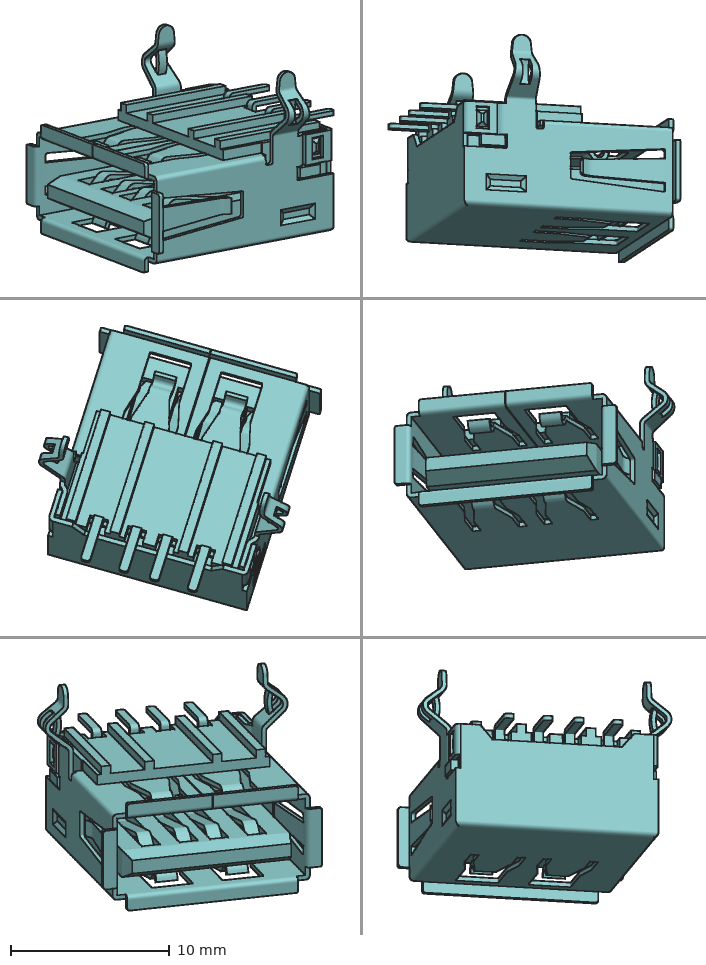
import cadquery as cq
import math


SHEET = 0.3
SHELL_HALF_WIDTH = 6.53
SHELL_HEIGHT = 5.71
SHELL_BACK = 13.95
TOP_BACK = 8.91
BEND_RADIUS = SHEET
INNER_HALF_WIDTH = SHELL_HALF_WIDTH - SHEET
INNER_TOP = SHELL_HEIGHT - SHEET
INNER_BACK = SHELL_BACK - SHEET
WALL_MID = SHELL_HALF_WIDTH - SHEET / 2
SEAM_WIDTH = 0.05
TIGHT_BEND = 0.02

FLANGE_REACH = 0.7
FLANGE_HALF_WIDTH = 5.65
SIDE_FLANGE_HALF_WIDTH = 7.23
SIDE_FLANGE_BOTTOM = 0.88
SIDE_FLANGE_TOP = 4.78
FLANGE_CORNER_RADIUS = 0.16
LIP_RADIUS = 0.29

SPRING_X = 2.34
SPRING_ROOT_Y = 7.2
SPRING_ROOT_HALF = 1.25
SPRING_TIP_HALF = 0.7
SPRING_TAPER = (5.57, 3.65)
SPRING_WINDOW_ROOT_HALF = 1.76
SPRING_WINDOW_TIP_HALF = 1.36
SPRING_WINDOW_TAPER = (5.26, 3.73)
SPRING_WINDOW_FRONT = 1.0
SPRING_WINDOW_RADIUS = 0.08
SPRING_BEND_Y = 3.38
SPRING_DIP_Y = 2.6
SPRING_DIP_DEPTH = 1.0
SPRING_TIP_Y = 2.22
SPRING_TIP_DEPTH = 0.03
SPRING_BEND_RADII = (0.32, 0.45)

SIDE_WINDOW = [(0.78, 1.5), (0.78, 4.27), (7.0, 3.73), (7.0, 2.02)]
SIDE_WINDOW_RADIUS = 0.15
SIDE_SPRING_FRONT = 0.64
SIDE_SPRING_KNEE = 5.63
SIDE_SPRING_END = 6.29
SIDE_SPRING_INSET = 0.37
SIDE_SPRING_END_INSET = 0.05
SIDE_SPRING_END_LEAN = 0.08
SIDE_SPRING_BEND_RADII = (0.48, 0.96)
SIDE_SPRING_BEND_START = 0.08
SIDE_SPRING_MID_Z = 2.88
SIDE_SPRING_ROOT_HALF = 0.78
SIDE_SPRING_TIP_HALF = 0.53
SIDE_SPRING_END_RADIUS = 0.29

TAB_Y = 10.24
TAB_HALF_WIDTH = 0.98
TAB_TIP_RADIUS = 0.6
TAB_BASE_Z = 6.91
TAB_TOP_Z = 11.04
TAB_APEX_Z = 8.55
TAB_APEX_X = 8.15
TAB_TIP_X = 6.6
TAB_KNEE_Z = 9.76
TAB_BEND_Z = 7.09
TAB_BEND_RADII = (0.37, 0.5, 0.48)
TAB_BOW_WIDTH = 0.62
TAB_BOW_HALF_HEIGHT = 0.8
TAB_BOW_X = 6.96
TAB_BOW_END_X = 7.1
NOTCH_FRONT = 8.74
NOTCH_BOTTOM = 5.12
NOTCH_RADIUS = 0.16

EAR_BOTTOM = 4.62
EAR_TOP = 6.62
EAR_FRONT = 11.8
EAR_GAP_BOTTOM = 3.75
EAR_GAP_FRONT = 11.15
EAR_GAP_RADIUS = 0.15
STRIP_BACK = 13.45
JOG_START = 11.4
JOG_END = 11.76
JOG_RADIUS = 0.35
STRIP_GAP = 0.03
EAR_SLOPE_X = (4.95, 4.16)
WINDOW_CENTRE = (12.74, 5.63)
WINDOW_SIZE = (0.85, 1.42)
LOCK_BASE = (0.75, 1.05)
LOCK_CREST = (0.15, 0.55)
LOCK_HEIGHT = 0.24

DENT_CENTRE = (11.2, 1.52)
DENT_SIZE = (2.62, 1.02)
DENT_INSET = 0.3
DENT_DEPTH = 0.2

PIN_POSITIONS = (-3.5, -1.0, 1.0, 3.5)
PIN_THICKNESS = 0.3
LEG_WIDTH = 0.6
LEG_TIP_RADIUS = 0.2
LEG_TOP = 6.91
PIN_TIP_Y = 15.97
POST_FRONT = 12.8
BEAM_WIDTH = 0.95
BEAM_BOTTOM = 2.06
BEAM_RISE_Y = 8.0
CREST_Y = 3.42
CREST_Z = 3.04
BEAM_FALL_Y = 2.6
BEAM_BEND_RADII = (0.8, 0.48, 0.32)
BEAM_TAPER_Y = 2.25
BEAM_TIP_WIDTH = 0.45
SHOULDER_BOTTOM = 4.8
SHOULDER_TOP = 6.0
SHOULDER_RADIUS = 0.25

BLOCK_FRONT = 8.96
BLOCK_HALF_WIDTH = 6.15
BLOCK_TOP_HALF_WIDTH = 5.8
SHELF_Z = 4.53
BLOCK_CHAMFER = 0.35
PLATE_FRONT = 6.0
PLATE_HALF_WIDTH = 5.71
PLATE_TOP = 6.38
RIB_POSITIONS = (-5.12, -2.24, 2.24, 5.12)
RIB_WIDTH = 0.6
TONGUE_HALF_WIDTH = 5.54
TONGUE_BOTTOM = 1.05
TONGUE_TOP = 2.85
TONGUE_SHOULDER_Y = 1.44
TONGUE_FRONT = 0.24
TONGUE_NOSE_HALF_WIDTH = 5.25
TONGUE_NOSE_BOTTOM = 1.66
TONGUE_NOSE_TOP = 2.55
GROOVE_WIDTH = 1.2
GROOVE_FRONT = 1.8
SLOT_TOP = 3.38
NOTCH_FLOOR = SHELL_HEIGHT
BUMP_Y = (11.31, 12.86)
BUMP_Z = (3.87, 4.56)
BUMP_HALF_WIDTH = 6.62
DENT_CLEARANCE_HALF_WIDTH = 5.8
DENT_CLEARANCE_Z = (1.0, 2.32)
DENT_CLEARANCE_BACK = 12.8


def block(x, y, z):
    """Box from its (low, high) limits along each axis."""
    size = (x[1] - x[0], y[1] - y[0], z[1] - z[0])
    return cq.Workplane("XY").box(*size, centered=False).translate((x[0], y[0], z[0]))


def centred_block(half_width, y, z):
    return block((-half_width, half_width), y, z)


def both_sides(shape):
    """The shape together with its mirror image across X = 0."""
    return shape.union(shape.mirror("YZ"))


def bent_strip(workplane, path, bend_radii, thickness):
    """Closed outline of a strip whose middle line follows path, rounded at each inner point."""
    sides = {1: [], -1: []}
    last = len(path) - 1
    headings = [
        math.atan2(b[1] - a[1], b[0] - a[0]) for a, b in zip(path, path[1:])
    ]
    for side, stretches in sides.items():
        shift = side * thickness / 2
        for index, point in enumerate(path):
            if index in (0, last):
                heading = headings[0] if index == 0 else headings[-1]
                normal = heading + math.pi / 2
                stretches.append(
                    [(point[0] + shift * math.cos(normal), point[1] + shift * math.sin(normal))]
                )
                continue
            before, after = headings[index - 1], headings[index]
            turn = math.remainder(after - before, 2 * math.pi)
            hand = math.copysign(1, turn)
            radius = bend_radii[index - 1]
            inward = before + turn / 2 + hand * math.pi / 2
            centre_distance = radius / math.cos(turn / 2)
            centre_x = point[0] + centre_distance * math.cos(inward)
            centre_y = point[1] + centre_distance * math.sin(inward)
            arc_radius = radius - hand * shift
            stretches.append([
                (
                    centre_x + arc_radius * math.cos(direction - hand * math.pi / 2),
                    centre_y + arc_radius * math.sin(direction - hand * math.pi / 2),
                )
                for direction in (before, before + turn / 2, after)
            ])
    loop = sides[1] + [stretch[::-1] for stretch in reversed(sides[-1])]
    outline = workplane.moveTo(*loop[0][0])
    for stretch in loop[1:]:
        outline = outline.lineTo(*stretch[0])
        if len(stretch) > 1:
            outline = outline.threePointArc(stretch[1], stretch[2])
    return outline.close()


def side_frustum(x, centre, base, crest, height):
    """Four-sided frustum on the plane at x, rising along X by height (negative is inward)."""
    return (
        cq.Workplane("YZ", origin=(x, *centre))
        .rect(*base)
        .workplane(offset=height)
        .rect(*crest)
        .loft(combine=True)
    )



def shell_tube():
    """Bottom, side walls, top sheet and back wall, before any cut-outs."""
    envelope = (SHELL_HALF_WIDTH, (SHEET, SHELL_BACK), (0, SHELL_HEIGHT))
    tube = centred_block(*envelope).edges("|Y").fillet(BEND_RADIUS)
    tube = tube.intersect(centred_block(*envelope).edges("|X and >Y and <Z").fillet(BEND_RADIUS))
    tube = tube.cut(centred_block(INNER_HALF_WIDTH, (0, INNER_BACK), (SHEET, INNER_TOP)))
    rear = (TOP_BACK, SHELL_BACK)
    tube = tube.cut(centred_block(SHELL_HALF_WIDTH, rear, (EAR_GAP_BOTTOM, SHELL_HEIGHT)))
    tab_walls = block(
        (INNER_HALF_WIDTH, SHELL_HALF_WIDTH),
        (TOP_BACK, TAB_Y + TAB_HALF_WIDTH),
        (EAR_GAP_BOTTOM, TAB_BASE_Z),
    )
    notches = block(
        (INNER_HALF_WIDTH, SHELL_HALF_WIDTH),
        (NOTCH_FRONT, TAB_Y - TAB_HALF_WIDTH),
        (NOTCH_BOTTOM, TAB_BASE_Z),
    ).edges("|X and <Z").fillet(NOTCH_RADIUS)
    ear_gaps = block(
        (INNER_HALF_WIDTH, SHELL_HALF_WIDTH),
        (EAR_GAP_FRONT, SHELL_BACK),
        (EAR_GAP_BOTTOM, EAR_BOTTOM),
    ).edges("|X and <Y and <Z").fillet(EAR_GAP_RADIUS)
    tube = tube.union(both_sides(tab_walls))
    return tube.cut(both_sides(notches)).cut(both_sides(ear_gaps))


def flanges():
    lip = (0, SHEET)
    bottom = (
        centred_block(FLANGE_HALF_WIDTH, lip, (-FLANGE_REACH, SHEET))
        .edges("|Y and <Z").fillet(FLANGE_CORNER_RADIUS)
        .edges("|X and <Y and >Z").fillet(LIP_RADIUS)
    )
    top = (
        centred_block(FLANGE_HALF_WIDTH, lip, (INNER_TOP, SHELL_HEIGHT + FLANGE_REACH))
        .edges("|Y and >Z").fillet(FLANGE_CORNER_RADIUS)
        .edges("|X and <Y and <Z").fillet(LIP_RADIUS)
    )
    side = (
        block(
            (INNER_HALF_WIDTH, SIDE_FLANGE_HALF_WIDTH), lip, (SIDE_FLANGE_BOTTOM, SIDE_FLANGE_TOP)
        )
        .edges("|Y and >X").fillet(FLANGE_CORNER_RADIUS)
        .edges("|Z and <Y and <X").fillet(LIP_RADIUS)
    )
    return bottom.union(top).union(both_sides(side))


def tapered_plan(root_half, tip_half, taper, front_y):
    """Plan outline, symmetric about X = 0, that narrows toward the mouth."""
    right = [
        (root_half, SPRING_ROOT_Y), (root_half, taper[0]), (tip_half, taper[1]), (tip_half, front_y)
    ]
    left = [(-x, y) for x, y in reversed(right)]
    return cq.Workplane("XY").polyline(right + left).close().extrude(SHELL_HEIGHT)


def top_spring():
    """Spring finger hanging from the top sheet, at X = 0."""
    mid = SHELL_HEIGHT - SHEET / 2
    path = [
        (SPRING_ROOT_Y, mid),
        (SPRING_BEND_Y, mid),
        (SPRING_DIP_Y, mid - SPRING_DIP_DEPTH),
        (SPRING_TIP_Y, mid - SPRING_TIP_DEPTH),
    ]
    finger = bent_strip(cq.Workplane("YZ"), path, SPRING_BEND_RADII, SHEET).extrude(
        SPRING_ROOT_HALF, both=True
    )
    return finger.intersect(tapered_plan(SPRING_ROOT_HALF, SPRING_TIP_HALF, SPRING_TAPER, 0))


def contact_springs():
    spring = top_spring()
    lower = spring.mirror("XY").translate((0, 0, SHELL_HEIGHT))
    pair = spring.union(lower)
    return both_sides(pair.translate((SPRING_X, 0, 0)))


def spring_windows():
    window = tapered_plan(
        SPRING_WINDOW_ROOT_HALF, SPRING_WINDOW_TIP_HALF, SPRING_WINDOW_TAPER, SPRING_WINDOW_FRONT
    )
    window = window.edges("|Z and <Y").fillet(SPRING_WINDOW_RADIUS)
    return both_sides(window.translate((SPRING_X, 0, 0)))


def side_windows():
    window = (
        cq.Workplane("YZ", origin=(INNER_HALF_WIDTH, 0, 0))
        .polyline(SIDE_WINDOW).close()
        .extrude(SHEET)
        .edges("|X").fillet(SIDE_WINDOW_RADIUS)
    )
    return both_sides(window)


def side_springs():
    front = SIDE_WINDOW[0][0]
    path = [
        (WALL_MID, SIDE_SPRING_FRONT),
        (WALL_MID, front + SIDE_SPRING_BEND_START),
        (WALL_MID - SIDE_SPRING_INSET, SIDE_SPRING_KNEE),
        (WALL_MID - SIDE_SPRING_END_INSET, SIDE_SPRING_END - SIDE_SPRING_END_LEAN),
    ]
    finger = bent_strip(cq.Workplane("XY"), path, SIDE_SPRING_BEND_RADII, SHEET).extrude(SHELL_HEIGHT)
    upper = [
        (SIDE_SPRING_FRONT, SIDE_SPRING_ROOT_HALF),
        (SIDE_SPRING_KNEE, SIDE_SPRING_TIP_HALF),
        (SIDE_SPRING_END, SIDE_SPRING_TIP_HALF),
    ]
    lower = [(y, -z) for y, z in reversed(upper)]
    profile = (
        cq.Workplane("YZ", origin=(0, 0, SIDE_SPRING_MID_Z))
        .polyline(upper + lower).close()
        .extrude(SHELL_HALF_WIDTH)
        .edges("|X and >Y").fillet(SIDE_SPRING_END_RADIUS)
    )
    return both_sides(finger.intersect(profile))


def retention_tabs():
    at_tab = cq.Workplane("XZ", origin=(0, TAB_Y, 0))
    path = [
        (WALL_MID, SHELL_HEIGHT),
        (WALL_MID, TAB_BEND_Z),
        (TAB_APEX_X, TAB_APEX_Z),
        (TAB_TIP_X, TAB_KNEE_Z),
        (TAB_TIP_X, TAB_TOP_Z),
    ]
    strip = bent_strip(at_tab, path, TAB_BEND_RADII, SHEET).extrude(TAB_HALF_WIDTH, both=True)
    shoulder_z = TAB_TOP_Z - TAB_TIP_RADIUS
    profile = (
        cq.Workplane("YZ", origin=(0, TAB_Y, 0))
        .moveTo(-TAB_HALF_WIDTH, SHELL_HEIGHT)
        .lineTo(-TAB_HALF_WIDTH, TAB_BASE_Z)
        .lineTo(-TAB_TIP_RADIUS, shoulder_z)
        .threePointArc((0, TAB_TOP_Z), (TAB_TIP_RADIUS, shoulder_z))
        .lineTo(TAB_HALF_WIDTH, TAB_BASE_Z)
        .lineTo(TAB_HALF_WIDTH, SHELL_HEIGHT)
        .close()
        .extrude(TAB_APEX_X)
    )
    window = at_tab.center(TAB_APEX_X, TAB_APEX_Z).rect(
        2 * (TAB_APEX_X - WALL_MID), 2 * TAB_BOW_HALF_HEIGHT
    ).extrude(TAB_BOW_WIDTH / 2, both=True)
    low, high = TAB_APEX_Z - TAB_BOW_HALF_HEIGHT, TAB_APEX_Z + TAB_BOW_HALF_HEIGHT
    half = SHEET / 2
    bow = (
        at_tab.moveTo(TAB_BOW_END_X - half, low)
        .threePointArc((TAB_BOW_X - half, TAB_APEX_Z), (TAB_BOW_END_X - half, high))
        .lineTo(TAB_BOW_END_X + half, high)
        .threePointArc((TAB_BOW_X + half, TAB_APEX_Z), (TAB_BOW_END_X + half, low))
        .close()
        .extrude(TAB_BOW_WIDTH / 2, both=True)
    )
    return both_sides(strip.intersect(profile).cut(window).union(bow))


def back_wall_top():
    """Back wall above the side walls, lower between the ears."""
    outline = [
        (INNER_HALF_WIDTH, EAR_GAP_BOTTOM), (INNER_HALF_WIDTH, EAR_TOP),
        (EAR_SLOPE_X[0], EAR_TOP), (EAR_SLOPE_X[1], SHELL_HEIGHT),
    ]
    outline += [(-x, z) for x, z in reversed(outline)]
    return cq.Workplane("XZ", origin=(0, SHELL_BACK, 0)).polyline(outline).close().extrude(SHEET)


def ears():
    height = EAR_TOP - EAR_BOTTOM
    level = cq.Workplane("XY", origin=(0, 0, EAR_BOTTOM))
    back_mid = SHELL_BACK - SHEET / 2
    wrap_path = [(EAR_SLOPE_X[0], back_mid), (WALL_MID, back_mid), (WALL_MID, EAR_FRONT)]
    wrap = bent_strip(level, wrap_path, (SHEET / 2 + TIGHT_BEND,), SHEET).extrude(height)
    window_y, window_z = WINDOW_CENTRE
    wrap = wrap.cut(
        block(
            (INNER_HALF_WIDTH, SHELL_HALF_WIDTH),
            (window_y - WINDOW_SIZE[0] / 2, window_y + WINDOW_SIZE[0] / 2),
            (window_z - WINDOW_SIZE[1] / 2, window_z + WINDOW_SIZE[1] / 2),
        )
    )
    strip_mid = WALL_MID - SHEET - STRIP_GAP
    strip_path = [
        (WALL_MID, TAB_Y), (WALL_MID, JOG_START), (strip_mid, JOG_END), (strip_mid, STRIP_BACK)
    ]
    strip = bent_strip(level, strip_path, (JOG_RADIUS, JOG_RADIUS), SHEET).extrude(height)
    lock = side_frustum(strip_mid + SHEET / 2, WINDOW_CENTRE, LOCK_BASE, LOCK_CREST, LOCK_HEIGHT)
    return both_sides(wrap.union(strip).union(lock))


def dents(x):
    """Frustums pressed inward from the plane at x, on both sides."""
    crest = [size - 2 * DENT_INSET for size in DENT_SIZE]
    return both_sides(side_frustum(x, DENT_CENTRE, DENT_SIZE, crest, -DENT_DEPTH))


def make_shell():
    shell = shell_tube().union(flanges())
    shell = shell.cut(spring_windows()).union(contact_springs())
    shell = shell.cut(side_windows()).union(side_springs())
    shell = shell.union(retention_tabs()).union(back_wall_top()).union(ears())
    shell = shell.union(dents(INNER_HALF_WIDTH)).cut(dents(SHELL_HALF_WIDTH))
    seam = centred_block(
        SEAM_WIDTH / 2, (0, TOP_BACK), (INNER_TOP, SHELL_HEIGHT + FLANGE_REACH)
    )
    return shell.cut(seam)



def make_pin(x):
    """Contact pin: horizontal leg, upright post and sprung beam along the tongue."""
    half = PIN_THICKNESS / 2
    post_mid = POST_FRONT + half
    beam_mid = BEAM_BOTTOM + half
    plane = cq.Workplane("YZ")
    post_depth = (POST_FRONT, POST_FRONT + PIN_THICKNESS)
    leg_path = [(PIN_TIP_Y, LEG_TOP - half), (post_mid, LEG_TOP - half), (post_mid, BEAM_BOTTOM)]
    leg = bent_strip(plane, leg_path, (half + TIGHT_BEND,), PIN_THICKNESS).extrude(LEG_WIDTH / 2, both=True)
    leg = leg.edges("|Z and >Y").fillet(LEG_TIP_RADIUS)
    shoulder = centred_block(
        GROOVE_WIDTH / 2, post_depth, (SHOULDER_BOTTOM, SHOULDER_TOP)
    ).edges("|Y and >Z").fillet(SHOULDER_RADIUS)
    post = centred_block(BEAM_WIDTH / 2, post_depth, (BEAM_BOTTOM, SHOULDER_BOTTOM))
    beam_path = [
        (post_mid, beam_mid),
        (BEAM_RISE_Y, beam_mid),
        (CREST_Y, CREST_Z),
        (BEAM_FALL_Y, beam_mid),
        (GROOVE_FRONT, beam_mid),
    ]
    beam = bent_strip(plane, beam_path, BEAM_BEND_RADII, PIN_THICKNESS).extrude(BEAM_WIDTH / 2, both=True)
    right = [
        (BEAM_WIDTH / 2, PIN_TIP_Y),
        (BEAM_WIDTH / 2, BEAM_TAPER_Y),
        (BEAM_TIP_WIDTH / 2, GROOVE_FRONT),
    ]
    left = [(-edge, y) for edge, y in reversed(right)]
    plan = cq.Workplane("XY").polyline(right + left).close().extrude(SHELL_HEIGHT)
    return leg.union(shoulder).union(post).union(beam.intersect(plan)).translate((x, 0, 0))



def tongue():
    nose_mid = (TONGUE_NOSE_BOTTOM + TONGUE_NOSE_TOP) / 2
    tongue_mid = (TONGUE_BOTTOM + TONGUE_TOP) / 2
    bar = centred_block(TONGUE_HALF_WIDTH, (TONGUE_SHOULDER_Y, BLOCK_FRONT), (TONGUE_BOTTOM, TONGUE_TOP))
    nose = (
        cq.Workplane("XZ", origin=(0, TONGUE_SHOULDER_Y, 0))
        .center(0, tongue_mid)
        .rect(2 * TONGUE_HALF_WIDTH, TONGUE_TOP - TONGUE_BOTTOM)
        .workplane(offset=TONGUE_SHOULDER_Y - TONGUE_FRONT)
        .center(0, nose_mid - tongue_mid)
        .rect(2 * TONGUE_NOSE_HALF_WIDTH, TONGUE_NOSE_TOP - TONGUE_NOSE_BOTTOM)
        .loft(combine=True)
    )
    return bar.union(nose)


def pin_cavity(x):
    """Groove, slot and rear notch that take one pin."""
    edges = (x - GROOVE_WIDTH / 2, x + GROOVE_WIDTH / 2)
    post_back = POST_FRONT + PIN_THICKNESS
    groove = block(edges, (GROOVE_FRONT, post_back), (BEAM_BOTTOM, SLOT_TOP))
    channel = block(edges, (POST_FRONT, post_back), (BEAM_BOTTOM, PLATE_TOP))
    notch = block(edges, (POST_FRONT, INNER_BACK), (NOTCH_FLOOR, PLATE_TOP))
    return groove.union(channel).union(notch)


def make_housing():
    depth = (BLOCK_FRONT, INNER_BACK)
    housing = centred_block(BLOCK_HALF_WIDTH, depth, (SHEET, SHELF_Z))
    housing = housing.edges("|X and <Y and <Z").chamfer(BLOCK_CHAMFER)
    housing = housing.union(centred_block(BLOCK_TOP_HALF_WIDTH, depth, (SHELF_Z, PLATE_TOP)))
    plate_depth = (PLATE_FRONT, INNER_BACK)
    housing = housing.union(centred_block(PLATE_HALF_WIDTH, plate_depth, (SHELL_HEIGHT, PLATE_TOP)))
    for x in RIB_POSITIONS:
        rib = block((x - RIB_WIDTH / 2, x + RIB_WIDTH / 2), plate_depth, (PLATE_TOP, LEG_TOP))
        housing = housing.union(rib)
    housing = housing.union(centred_block(BUMP_HALF_WIDTH, BUMP_Y, BUMP_Z))
    dent_clearance = block(
        (DENT_CLEARANCE_HALF_WIDTH, BLOCK_HALF_WIDTH),
        (BLOCK_FRONT, DENT_CLEARANCE_BACK),
        DENT_CLEARANCE_Z,
    )
    housing = housing.cut(both_sides(dent_clearance)).union(tongue())
    for x in PIN_POSITIONS:
        housing = housing.cut(pin_cavity(x))
    return housing


shell = make_shell()
housing = make_housing()
pins = [make_pin(x) for x in PIN_POSITIONS]

result = cq.Compound.makeCompound([body.solids().val() for body in (shell, housing, *pins)])